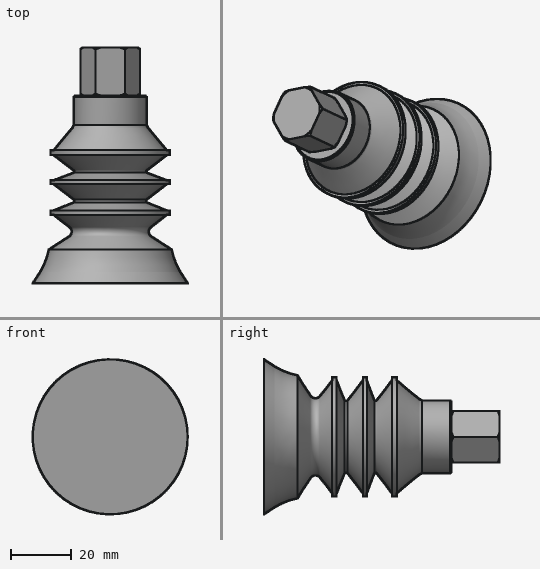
import cadquery as cq
import math

TOTAL_LENGTH = 77.5

HEX_ACROSS_FLATS = 17.0
HEX_BASE_Y = 61.6
HEX_END_RADIUS = 9.0
HEX_CHAMFER_LENGTH = 0.6

COLLAR_RADIUS = 12.0
COLLAR_CHAMFER = 0.5
COLLAR_END_Y = 52.0
CONE_START_Y = 51.15
CONE_START_RADIUS = 12.4
RIM_RADIUS = 19.65
RIM_CONE_RADIUS = 18.6
RIMS = [(43.7, 42.1), (33.9, 32.55), (23.95, 22.5)]
FOLD_NECKS = [(37.05, 36.35), (27.5, 26.6)]
FOLD_NECK_RADIUS = 12.0
FOLD_NECK_DEPTH = 0.15

WAIST_TOP_Y = 18.6
WAIST_BOTTOM_Y = 15.35
WAIST_EDGE_RADIUS = 13.65
WAIST_RADIUS = 12.7

CUP_SHOULDER_Y = 11.1
CUP_SHOULDER_RADIUS = 20.2
LIP_START_Y = 3.6
LIP_START_RADIUS = 23.2
CUP_RADIUS = 25.5
FLARE_SAG = 0.4


def add_rim(profile, upper_y, lower_y):
    """Cone down to a rim, around its cylindrical edge and back to its lower cone."""
    return (
        profile.lineTo(RIM_CONE_RADIUS, upper_y)
        .lineTo(RIM_RADIUS, upper_y)
        .lineTo(RIM_RADIUS, lower_y)
        .lineTo(RIM_CONE_RADIUS, lower_y)
    )


def add_fold_neck(profile, upper_y, lower_y):
    """Cone inward to a fold, then a shallow rounded groove at its root."""
    return profile.lineTo(FOLD_NECK_RADIUS, upper_y).threePointArc(
        (FOLD_NECK_RADIUS - FOLD_NECK_DEPTH, (upper_y + lower_y) / 2),
        (FOLD_NECK_RADIUS, lower_y),
    )


def make_body():
    """Revolve the collar, the folds and the cup as one profile."""
    profile = (
        cq.Workplane("XY")
        .moveTo(0, 0)
        .lineTo(0, HEX_BASE_Y)
        .lineTo(COLLAR_RADIUS - COLLAR_CHAMFER, HEX_BASE_Y)
        .lineTo(COLLAR_RADIUS, HEX_BASE_Y - COLLAR_CHAMFER)
        .lineTo(COLLAR_RADIUS, COLLAR_END_Y)
        .lineTo(CONE_START_RADIUS, CONE_START_Y)
    )
    profile = add_rim(profile, *RIMS[0])
    for neck, rim in zip(FOLD_NECKS, RIMS[1:]):
        profile = add_fold_neck(profile, *neck)
        profile = add_rim(profile, *rim)

    flare_mid_radius = (CUP_SHOULDER_RADIUS + LIP_START_RADIUS) / 2 - FLARE_SAG
    flare_mid_y = (CUP_SHOULDER_Y + LIP_START_Y) / 2
    return (
        profile.lineTo(WAIST_EDGE_RADIUS, WAIST_TOP_Y)
        .threePointArc(
            (WAIST_RADIUS, (WAIST_TOP_Y + WAIST_BOTTOM_Y) / 2),
            (WAIST_EDGE_RADIUS, WAIST_BOTTOM_Y),
        )
        .lineTo(CUP_SHOULDER_RADIUS, CUP_SHOULDER_Y)
        .threePointArc((flare_mid_radius, flare_mid_y), (LIP_START_RADIUS, LIP_START_Y))
        .lineTo(CUP_RADIUS, 0)
        .close()
        .revolve(360, (0, 0, 0), (0, 1, 0))
    )


def make_hexagon():
    """Hexagon with corners on the X axis, its corners turned down at both ends."""
    corner_radius = HEX_ACROSS_FLATS / math.sqrt(3)
    prism = (
        cq.Workplane("XZ", origin=(0, HEX_BASE_Y, 0))
        .polygon(6, 2 * corner_radius)
        .extrude(HEX_BASE_Y - TOTAL_LENGTH)
    )
    turned_blank = (
        cq.Workplane("XY")
        .moveTo(0, HEX_BASE_Y)
        .lineTo(HEX_END_RADIUS, HEX_BASE_Y)
        .lineTo(corner_radius, HEX_BASE_Y + HEX_CHAMFER_LENGTH)
        .lineTo(corner_radius, TOTAL_LENGTH - HEX_CHAMFER_LENGTH)
        .lineTo(HEX_END_RADIUS, TOTAL_LENGTH)
        .lineTo(0, TOTAL_LENGTH)
        .close()
        .revolve(360, (0, 0, 0), (0, 1, 0))
    )
    return prism.intersect(turned_blank)


result = make_body().union(make_hexagon())